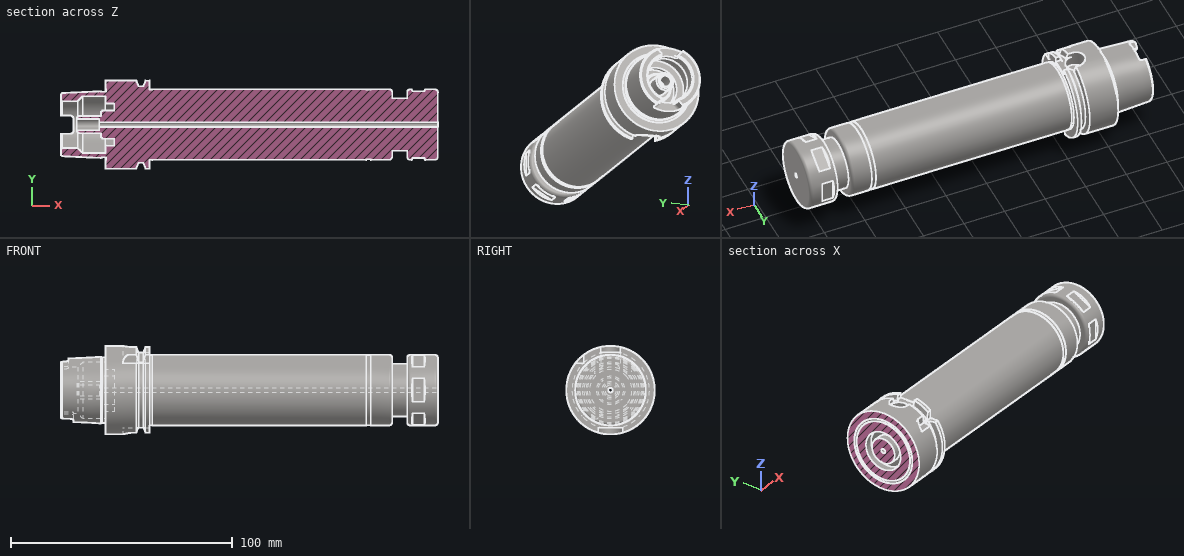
import cadquery as cq
import math


shank_tip_x = -20.0
taper_end_x = -2.1
relief_x = -1.4
face_recess_depth = 0.3
flange_end_x = 20.0
body_end_x = 129.4
nut_start_x = 136.0
nut_end_x = 150.0

flange_d = 40.0
taper_tip_d = 28.6
taper_base_d = 30.2
relief_d = 29.7
face_recess_d = 32.0
body_d = 32.0
neck_d = 24.0
nut_d = 32.0

tip_chamfer = 0.5
body_end_fillet = 1.5
nut_edge_fillet = 1.5

grip_groove_x = 16.05
grip_groove_root_d = 34.8
grip_groove_root_width = 2.1
grip_groove_mouth_width = 4.1

band_start_x = 117.6
band_end_x = 119.6
band_depth = 0.15

root_neck_end_x = 21.1
root_neck_depth = 0.1

bore_d = 21.0
bore_mouth_chamfer = 0.6
bore_flare_x = -12.5
clamp_bore_d = 25.5
clamp_flare_angle = 45.0
clamp_bore_end_x = 0.0
floor_bore_d = 19.0
floor_x = 4.0

tube_nut_d = 12.8
tube_nut_chamfer = 0.7
tube_nut_x = -2.0
tube_d = 8.0
tube_chamfer = 0.75
tube_tip_x = -12.8
tube_bore_d = 5.0
tube_bore_depth = 10.0
through_hole_d = 2.0

drive_slot_width = 8.05
drive_slot_top_depth = 3.3
drive_slot_bottom_depth = 5.6
drive_slot_flare_z = 10.7
drive_slot_flare_angle = 45.0
drive_slot_fillet = 1.3

keyway_start_x = 7.9
keyway_floor_z = 17.0
keyway_top_width = 9.0
keyway_bottom_width = 11.0
chip_hole_floor_z = 12.0
notch_offset = 12.0

flat_count = 6
flat_distance = 15.1
flat_start_x = 138.5
flat_end_x = 143.8
flat_end_slope = 0.4

flange_r = flange_d / 2
margin = 1.0


def revolved(points):
    """Turn a profile of (x, radius) points about the X axis."""
    return cq.Workplane("XY").polyline(points).close().revolve(360, (0, 0, 0), (1, 0, 0))


def cylinder_x(diameter, start_x, end_x):
    return cq.Workplane("YZ", origin=(start_x, 0, 0)).circle(diameter / 2).extrude(end_x - start_x)


def make_shank_and_flange():
    tip_r = taper_tip_d / 2
    return revolved([
        (shank_tip_x, 0),
        (shank_tip_x, tip_r - tip_chamfer),
        (shank_tip_x + tip_chamfer, tip_r),
        (taper_end_x, taper_base_d / 2),
        (relief_x, relief_d / 2),
        (face_recess_depth, relief_d / 2),
        (face_recess_depth, face_recess_d / 2),
        (0, face_recess_d / 2),
        (0, flange_r),
        (flange_end_x, flange_r),
        (flange_end_x, 0),
    ])


def shallow_band(start_x, end_x, depth):
    """Ring to cut from the body so that its surface drops by the depth."""
    outer = cylinder_x(body_d + margin, start_x, end_x)
    return outer.cut(cylinder_x(body_d - 2 * depth, start_x, end_x))


def make_body():
    body = cylinder_x(body_d, flange_end_x, body_end_x).faces(">X").edges().fillet(body_end_fillet)
    body = body.cut(shallow_band(flange_end_x, root_neck_end_x, root_neck_depth))
    return body.cut(shallow_band(band_start_x, band_end_x, band_depth))


def make_grip_groove():
    mouth = grip_groove_mouth_width / 2
    root = grip_groove_root_width / 2
    root_r = grip_groove_root_d / 2
    return revolved([
        (grip_groove_x - mouth, flange_r + margin),
        (grip_groove_x - mouth, flange_r),
        (grip_groove_x - root, root_r),
        (grip_groove_x + root, root_r),
        (grip_groove_x + mouth, flange_r),
        (grip_groove_x + mouth, flange_r + margin),
    ])


def make_cavity():
    bore_r = bore_d / 2
    clamp_r = clamp_bore_d / 2
    flare_length = (clamp_r - bore_r) / math.tan(math.radians(clamp_flare_angle))
    return revolved([
        (shank_tip_x, 0),
        (shank_tip_x, bore_r + bore_mouth_chamfer),
        (shank_tip_x + bore_mouth_chamfer, bore_r),
        (bore_flare_x, bore_r),
        (bore_flare_x + flare_length, clamp_r),
        (clamp_bore_end_x, clamp_r),
        (clamp_bore_end_x, floor_bore_d / 2),
        (floor_x, floor_bore_d / 2),
        (floor_x, 0),
    ])


def make_coolant_tube():
    collar = cylinder_x(tube_nut_d, tube_nut_x, floor_x).faces("<X").edges().chamfer(tube_nut_chamfer)
    tube = cylinder_x(tube_d, tube_tip_x, floor_x).faces("<X").edges().chamfer(tube_chamfer)
    return collar.union(tube)


def make_drive_slot(depth, side):
    """Slot from the shank tip whose walls flare outward; side is +1 for +Z and -1 for -Z."""
    half = drive_slot_width / 2
    outer_z = flange_r
    flare = (outer_z - drive_slot_flare_z) * math.tan(math.radians(drive_slot_flare_angle))
    slot = (
        cq.Workplane("YZ", origin=(shank_tip_x, 0, 0))
        .moveTo(-half, 0)
        .lineTo(-half, side * drive_slot_flare_z)
        .lineTo(-half - flare, side * outer_z)
        .lineTo(half + flare, side * outer_z)
        .lineTo(half, side * drive_slot_flare_z)
        .lineTo(half, 0)
        .close()
        .extrude(depth)
    )
    return slot.faces(">X").edges("not |Y").fillet(drive_slot_fillet)


def make_keyway(width, side):
    """Round-ended keyway open at the back of the flange; side is +1 for +Z and -1 for -Z."""
    radius = width / 2
    centre_x = keyway_start_x + radius
    return (
        cq.Workplane("XY", origin=(0, 0, side * keyway_floor_z))
        .moveTo(flange_end_x, -radius)
        .lineTo(centre_x, -radius)
        .threePointArc((keyway_start_x, 0), (centre_x, radius))
        .lineTo(flange_end_x, radius)
        .close()
        .extrude(side * (flange_r + margin - keyway_floor_z))
    )


def make_chip_hole():
    radius = keyway_top_width / 2
    return (
        cq.Workplane("XY", origin=(keyway_start_x + radius, 0, chip_hole_floor_z))
        .circle(radius)
        .extrude(flange_r - chip_hole_floor_z)
    )


def make_corner_notch():
    """Notch between the -Y and +Z sides of the flange, with a rounded front end."""
    radius = keyway_top_width / 2
    centre_x = keyway_start_x + radius
    arc_mid = radius * math.sqrt(0.5)
    return (
        cq.Workplane("XZ", origin=(0, -notch_offset, 0))
        .moveTo(keyway_start_x, notch_offset)
        .threePointArc((centre_x - arc_mid, notch_offset + arc_mid), (centre_x, notch_offset + radius))
        .lineTo(flange_end_x, notch_offset + radius)
        .lineTo(flange_end_x, notch_offset)
        .close()
        .extrude(flange_r - notch_offset)
    )


def make_nut():
    nut = cylinder_x(nut_d, nut_start_x, nut_end_x).edges().fillet(nut_edge_fillet)
    outer_z = nut_d / 2 + margin
    spread = flat_end_slope * (outer_z - flat_distance)
    flat = (
        cq.Workplane("XZ", origin=(0, nut_d / 2, 0))
        .moveTo(flat_start_x, flat_distance)
        .lineTo(flat_start_x - spread, outer_z)
        .lineTo(flat_end_x + spread, outer_z)
        .lineTo(flat_end_x, flat_distance)
        .close()
        .extrude(nut_d)
    )
    pitch = 360 / flat_count
    first_angle = pitch / 2
    for index in range(flat_count):
        nut = nut.cut(flat.rotate((0, 0, 0), (1, 0, 0), first_angle + index * pitch))
    return nut


holder = make_shank_and_flange()
holder = holder.cut(make_cavity())
holder = holder.cut(make_drive_slot(drive_slot_top_depth, 1))
holder = holder.cut(make_drive_slot(drive_slot_bottom_depth, -1))
holder = holder.cut(make_grip_groove())
holder = holder.cut(make_keyway(keyway_top_width, 1))
holder = holder.cut(make_keyway(keyway_bottom_width, -1))
holder = holder.cut(make_chip_hole())
holder = holder.cut(make_corner_notch())
holder = holder.union(make_coolant_tube())
holder = holder.union(make_body())
holder = holder.union(cylinder_x(neck_d, body_end_x, nut_start_x))
holder = holder.union(make_nut())
holder = holder.cut(cylinder_x(tube_bore_d, tube_tip_x, tube_tip_x + tube_bore_depth))
result = holder.cut(cylinder_x(through_hole_d, tube_tip_x, nut_end_x))